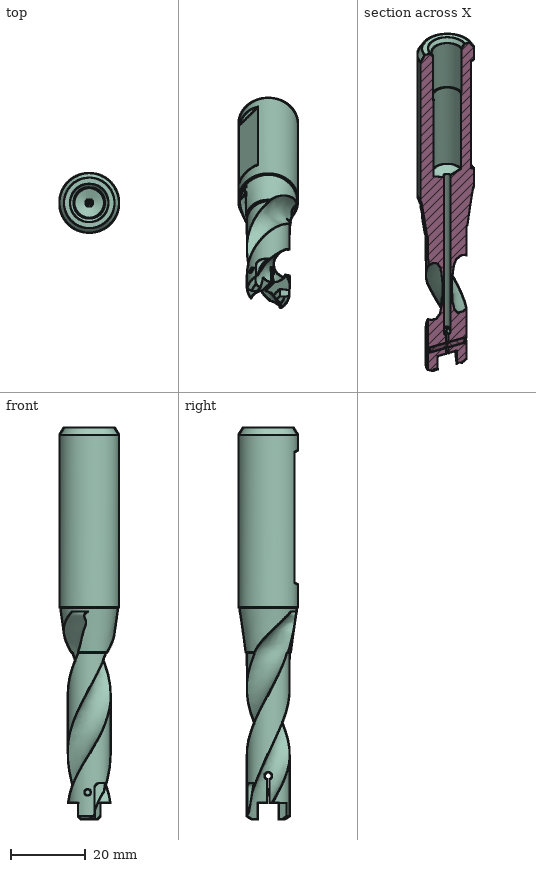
import cadquery as cq
import math

total_length = 104.7
shank_diameter = 16.0
shank_radius = shank_diameter / 2
shank_bottom_z = 56.7
top_chamfer_radial = 1.3
top_chamfer_height = 2.0

flat_depth = 0.9
flat_bottom_z = 62.7
flat_top_z = 98.6
flat_end_slope = 0.5

neck_top_radius = 7.7
neck_bottom_radius = 6.1
neck_bottom_z = 44.7
drill_radius = 5.8
step_bevel_height = 0.3
tip_chamfer_radial = 1.4
tip_chamfer_height = 0.8

entry_bore_radius = 4.2
entry_bore_depth = 15.7
bore_radius = 4.0
bore_bottom_z = 62.8
countersink_radius = 5.1
countersink_depth = 1.3
bore_point_angle = 140.0
coolant_radius = 0.9
coolant_outlet_z = 11.6

flute_count = 2
core_radius = 1.5
flute_twist = 5.398
flute_side_z = 42.5
flute_start_z = -3.1
flute_opening_half_angle = 49.0
flute_narrowing_z = 23.0
flute_narrowing = 0.7166
runout_start_z = 46.0
runout_end_z = 57.6
flute_end_z = 55.5
runout_core_radius = 8.0
flute_step = 2.6

seat_floor_z = 4.4
seat_width = 5.5
prong_flank_x = 3.0
prong_flank_angle = 35.0
notch_edge_x = 1.4
notch_top_y = 3.9
notch_bottom_y = 5.4
notch_top_z = 9.7
notch_corner_radius = 1.6
slit_width = 0.6

pin_radius = 0.8
pin_x = 0.4
pin_z = 7.2
pin_recess = 0.6
pin_end_y = drill_radius - pin_recess

clearance = 10.5


def make_blank():
    """Turned outline of the drill, with the stepped bore left out."""
    outline = [
        (0, 0),
        (drill_radius - tip_chamfer_radial, 0),
        (drill_radius, tip_chamfer_height),
        (drill_radius, neck_bottom_z - step_bevel_height),
        (neck_bottom_radius, neck_bottom_z),
        (neck_top_radius, shank_bottom_z - step_bevel_height),
        (shank_radius, shank_bottom_z),
        (shank_radius, total_length - top_chamfer_height),
        (shank_radius - top_chamfer_radial, total_length),
        (0, total_length),
    ]
    return cq.Workplane("XZ").polyline(outline).close().revolve(360, (0, 0), (0, 1))


def make_bore():
    """Countersunk stepped bore with a drill-point end and a coolant channel down the axis."""
    point_height = (bore_radius - coolant_radius) / math.tan(math.radians(bore_point_angle / 2))
    outline = [
        (0, coolant_outlet_z),
        (coolant_radius, coolant_outlet_z),
        (coolant_radius, bore_bottom_z),
        (bore_radius, bore_bottom_z + point_height),
        (bore_radius, total_length - entry_bore_depth),
        (entry_bore_radius, total_length - entry_bore_depth),
        (entry_bore_radius, total_length - countersink_depth),
        (countersink_radius, total_length),
        (0, total_length),
    ]
    return cq.Workplane("XZ").polyline(outline).close().revolve(360, (0, 0), (0, 1))


def make_shank_flat():
    """Cutter for the flat, with sloping ends."""
    flat_y = shank_radius - flat_depth
    outline = [
        (flat_y, flat_bottom_z + flat_end_slope),
        (shank_radius, flat_bottom_z),
        (shank_radius + clearance, flat_bottom_z),
        (shank_radius + clearance, flat_top_z),
        (shank_radius, flat_top_z),
        (flat_y, flat_top_z - flat_end_slope),
    ]
    return cq.Workplane("YZ").polyline(outline).close().extrude(clearance, both=True)


def groove_circle(half_angle):
    """Centre distance and radius of the circle that touches the core and opens by the half angle."""
    opening_x = drill_radius * math.cos(math.radians(half_angle))
    distance = (drill_radius**2 - core_radius**2) / (2 * (opening_x - core_radius))
    return distance, distance - core_radius


def flute_section(z):
    """U-shaped cross-section of the first flute at height z, with a round bottom at the core."""
    half_angle = flute_opening_half_angle - flute_narrowing * max(0, flute_narrowing_z - z)
    distance, radius = groove_circle(half_angle)
    runout = max(0, z - runout_start_z) / (runout_end_z - runout_start_z)
    distance += runout * (runout_core_radius - core_radius)
    azimuth = flute_twist * (z - flute_side_z)
    plane = cq.Plane(origin=(0, 0, z)).rotated((0, 0, azimuth))
    section = cq.Workplane(plane).moveTo(distance, -radius)
    section = section.threePointArc((distance - radius, 0), (distance, radius))
    section = section.lineTo(distance + radius, radius).lineTo(distance + radius, -radius).close()
    return section.wires().val()


def make_flute():
    """Flute cutter, lofted through cross-sections that turn with height and rise at the top."""
    steps = math.ceil((flute_end_z - flute_start_z) / flute_step)
    spacing = (flute_end_z - flute_start_z) / steps
    sections = [flute_section(flute_start_z + i * spacing) for i in range(steps + 1)]
    return cq.Workplane(cq.Solid.makeLoft(sections))


def make_seat():
    """Space below the seat floor on one side of the drill, leaving the prong on that side."""
    flank_y = math.sqrt(drill_radius**2 - prong_flank_x**2)
    inward_slope = math.tan(math.radians(prong_flank_angle))
    outline = [
        (-clearance, 0),
        (clearance, 0),
        (clearance, clearance),
        (prong_flank_x + inward_slope * (clearance - flank_y), clearance),
        (prong_flank_x - inward_slope * (flank_y - seat_width / 2), seat_width / 2),
        (-clearance, seat_width / 2),
    ]
    seat = cq.Workplane().polyline(outline).close().extrude(seat_floor_z + clearance)
    return seat.translate((0, 0, -clearance))


def make_notch():
    """Relief on the leading edge of the +Y prong, with a floor that gets deeper upwards."""
    side_outline = [
        (notch_bottom_y, 0),
        (notch_top_y, notch_top_z),
        (clearance, notch_top_z),
        (clearance, 0),
    ]
    notch = cq.Workplane("YZ").polyline(side_outline).close().extrude(-clearance)
    notch = notch.faces(">X").edges(">Z").fillet(notch_corner_radius)
    return notch.translate((-notch_edge_x, 0, 0))


def make_pin():
    """Pin of the +Y side, reaching from below the surface to the middle plane of the slit."""
    return cq.Workplane("XZ").center(pin_x, pin_z).circle(pin_radius).extrude(-pin_end_y)


def make_pin_hole():
    """Hole for the +Y pin, open at the surface."""
    return cq.Workplane("XZ").center(pin_x, pin_z).circle(pin_radius).extrude(-clearance)


def make_coolant_outlet():
    """Cross hole that lets the coolant into the flutes, with the slit below it."""
    outlet = cq.Workplane("YZ").center(0, coolant_outlet_z).circle(coolant_radius)
    outlet = outlet.extrude(clearance, both=True)
    slit = cq.Workplane().box(2 * clearance, slit_width, coolant_outlet_z, centered=(True, True, False))
    return outlet.union(slit)


def make_drill():
    drill = make_blank().cut(make_bore()).cut(make_shank_flat())
    side_cutters = [make_flute(), make_seat(), make_notch(), make_pin_hole()]
    for i in range(flute_count):
        for cutter in side_cutters:
            drill = drill.cut(cutter.rotate((0, 0, 0), (0, 0, 1), i * 360 / flute_count))
    return drill.cut(make_coolant_outlet())


drill = make_drill()
pins = [make_pin().rotate((0, 0, 0), (0, 0, 1), i * 360 / flute_count) for i in range(flute_count)]

result = cq.Compound.makeCompound([drill.val(), *[pin.val() for pin in pins]])